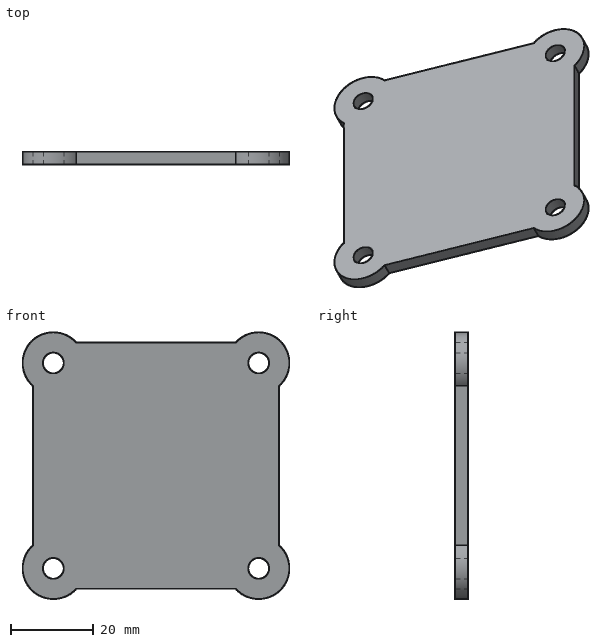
import cadquery as cq

plate_side = 60.0
thickness = 3.2
hole_spacing = 50.0
hole_diameter = 5.0
lobe_diameter = 15.0


def corner_cylinders(diameter):
    """Four cylinders through the plate thickness, one on each mounting hole axis."""
    return (
        cq.Workplane("XZ")
        .rect(hole_spacing, hole_spacing, forConstruction=True)
        .vertices()
        .circle(diameter / 2)
        .extrude(thickness / 2, both=True)
    )


plate = cq.Workplane("XY").box(plate_side, thickness, plate_side)

result = plate.union(corner_cylinders(lobe_diameter)).cut(corner_cylinders(hole_diameter))